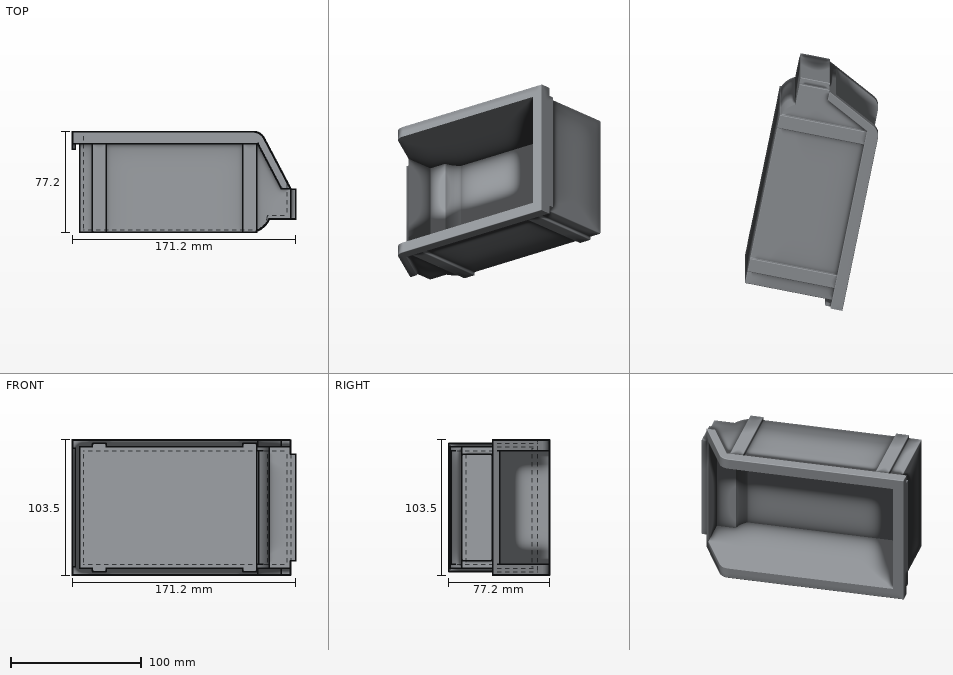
import cadquery as cq
import math

length = 171.2
depth = 77.2
width = 103.5
mid_z = width / 2

body_width = 93.0
back_x = 5.5
floor_end_x = 141.0
front_x = 167.1
shelf_y = 10.1
shelf_x = 150.7
sill_y = 33.5
wall = 2.9

step_foot_y = 1.0
step_bulge = 1.28

rim_depth = 9.5
rim_slope_width = 7.0
slope_angle = 62.3
rim_corner_radius = 9.6

lip_thickness = 2.2
lip_drop = 4.3
lip_width = 90.4

rib_width = 98.1
back_rib_start = 15.4
back_rib_end = 25.9
front_rib_start = 130.6

label_width = 81.8
label_top_y = 33.2

edge_round = 0.5
floor_round = 0.43

cavity_width = body_width - 2 * wall
cavity_floor_y = 1.9
cavity_floor_end_x = 142.8

slope_run_per_rise = 1 / math.tan(math.radians(slope_angle))
rim_bottom_y = depth - rim_depth
slope_top_x = front_x - (depth - sill_y) * slope_run_per_rise
rim_slope_foot_x = front_x - rim_slope_width
rim_slope_head_x = rim_slope_foot_x - (rim_bottom_y - sill_y) * slope_run_per_rise


def across(sketch, z_width):
    """Extrude an XY outline to a Z width centred on the bin."""
    return sketch.extrude(z_width / 2, both=True).translate((0, 0, mid_z))


def block(x0, x1, y0, y1, z_width):
    """Box between two X and two Y positions, centred on the bin in Z."""
    outline = cq.Workplane("XY").moveTo(x0, y0).lineTo(x1, y0).lineTo(x1, y1).lineTo(x0, y1).close()
    return across(outline, z_width)


def step_middle(x0, y0, x1, y1):
    """Middle point of the step arc, bulging outwards from its chord."""
    chord = math.hypot(x1 - x0, y1 - y0)
    return (
        (x0 + x1) / 2 + step_bulge * (y1 - y0) / chord,
        (y0 + y1) / 2 - step_bulge * (x1 - x0) / chord,
    )


def make_body():
    outline = (
        cq.Workplane("XY")
        .moveTo(back_x, 0)
        .lineTo(floor_end_x, 0)
        .lineTo(floor_end_x, step_foot_y)
        .threePointArc(step_middle(floor_end_x, step_foot_y, shelf_x, shelf_y), (shelf_x, shelf_y))
        .lineTo(front_x, shelf_y)
        .lineTo(front_x, sill_y)
        .lineTo(slope_top_x, depth)
        .lineTo(back_x, depth)
        .close()
    )
    return across(outline, body_width)


def make_ribs():
    back_rib = block(back_rib_start, back_rib_end, 0, rim_bottom_y, rib_width)
    front_rib = block(front_rib_start, floor_end_x, 0, rim_bottom_y, rib_width)
    return back_rib.union(front_rib)


def make_rim():
    outline = (
        cq.Workplane("XY")
        .moveTo(0, rim_bottom_y)
        .lineTo(rim_slope_head_x, rim_bottom_y)
        .lineTo(rim_slope_foot_x, sill_y)
        .lineTo(front_x, sill_y)
        .lineTo(slope_top_x, depth)
        .lineTo(0, depth)
        .close()
    )
    return across(outline, width)


def round_slope_corner(solid):
    """Round the edge where the flat rim turns down into the slope."""
    return solid.faces(">Y").edges(">X").fillet(rim_corner_radius)


def make_cavity():
    shelf_floor_y = shelf_y + wall
    arc_end = (shelf_x - wall / 2, shelf_floor_y)
    outline = (
        cq.Workplane("XY")
        .moveTo(back_x + wall, cavity_floor_y)
        .lineTo(cavity_floor_end_x, cavity_floor_y)
        .threePointArc(step_middle(cavity_floor_end_x, cavity_floor_y, *arc_end), arc_end)
        .lineTo(front_x - wall, shelf_floor_y)
        .lineTo(front_x - wall, depth)
        .lineTo(back_x + wall, depth)
        .close()
    )
    return across(outline, cavity_width)


def make_rounded_body():
    """Body with ribs, its depthwise corners rounded first and then the outline of the floor."""
    body = round_slope_corner(make_body()).union(make_ribs())
    body = body.edges("|Y").fillet(edge_round)
    return body.faces("<Y").edges().fillet(floor_round)


def make_rounded_rim():
    """Rim with its side outlines rounded, except along the flat back."""
    rim = round_slope_corner(make_rim())
    return rim.faces("<Z or >Z").edges("not <X").fillet(edge_round)


def make_label_plate():
    plate = block(front_x - wall, length, shelf_y, label_top_y, label_width)
    return plate.faces(">X").edges().fillet(edge_round)


def make_lip():
    return block(0, lip_thickness, rim_bottom_y - lip_drop, depth, lip_width)


outside = make_rounded_body().union(make_rounded_rim()).union(make_lip()).union(make_label_plate())
result = outside.cut(make_cavity())